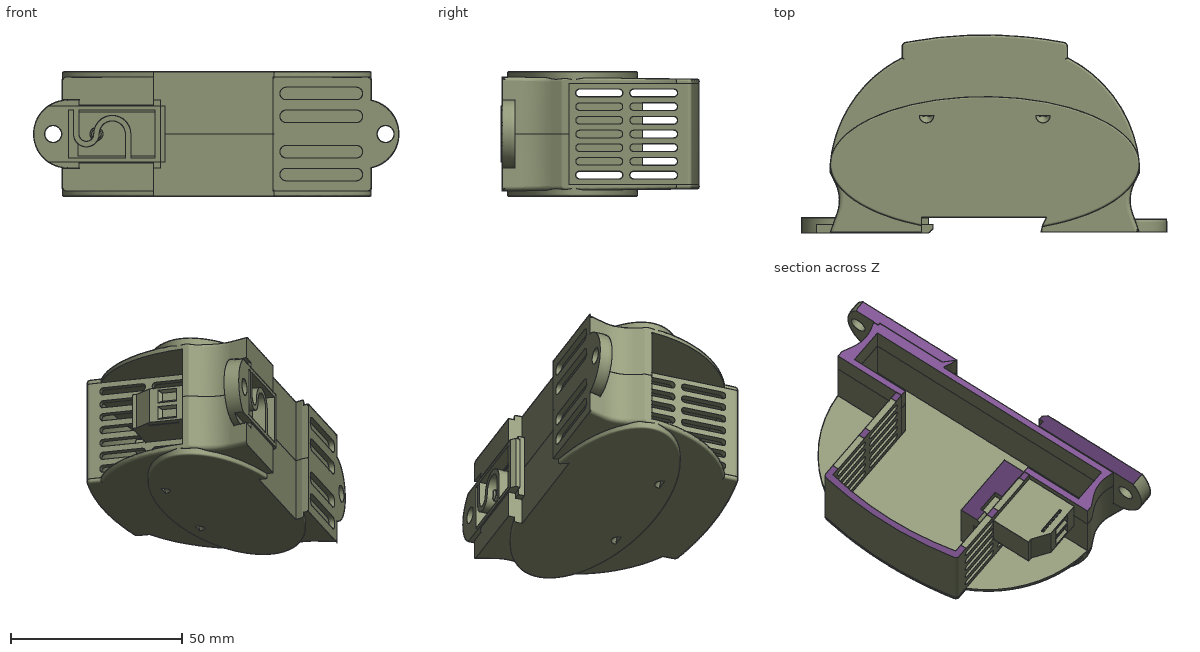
import cadquery as cq
import math


half_width = 45.2
foot_half_width = 45.1
dome_top = 57.6
dome_edge_height = 55.2
dome_half_width = 24.16
shoulder_height = 50.9
shoulder_bulge = (35.9, 41.75)
waist_height = 19.5
neck_half_width = 42.5
neck_height = 9.3
neck_radius = 11.4
neck_bottom_height = 5.6
neck_top_height = 14.3
dome_corner_radius = 1.3

half_depth_at_foot = 16.65
half_depth_at_top = 16.05
flange_inner_depth = 14.7
shell_edge_radius = 0.75
neck_edge_radius = 1.2
wall = 2.0

oval_center_height = 19.85
oval_half_width = 45.1
oval_half_height = 19.7
oval_half_depth = 18.22
oval_edge_radius = 0.5
dimple_radius = 2.1
dimple_depth = 3.0
dimple_spacing = 34.0
dimple_height = 34.0

pick_margin = 0.1

notch_depth = 4.3
notch_left = -18.45
notch_right = 18.0
hook_root = (16.85, 1.9)
hook_tip = 16.4

clip_back = -0.29
clip_top = 4.2
tier_height = 2.25
stem_half_width = 8.2
head_half_width = 9.93
clip_lug_x = -43.6
clip_lug_radius = 9.93
clip_hole_x = -47.8
mount_hole_diameter = 4.9
head_end = -16.4
tooth_end = -15.1
window_left = -43.3
window_right = -18.0
window_half_width = 7.0
spring_width = 1.6
spring_left = -41.05
spring_small_radius = 2.95
spring_large_radius = 4.62
boss_radius = 1.9
boss_back = 1.5
boss_chamfer = 0.5
groove_gap = 0.28
groove_shoulder_x = -40.2
ledge_half_width = 6.4
ledge_left = -40.5
ledge_depth = 0.3
clip_floor_thickness = 0.4

plate_thickness = 3.0
plate_lug_thickness = 3.8
plate_lug_end = 53.23
lug_chamfer_height = 1.0
lug_chamfer_width = 0.2
plate_lug_half_width = 9.9
plate_hole_x = 49.3
plate_slot_left = 18.45
plate_slot_right = 42.6
plate_slot_width = 3.65
plate_slot_depth = 1.7
plate_slot_offsets = (5.15, 11.84)

vent_pitch = 4.0
vent_rows = 7
vent_width = 2.2
vent_columns = ((37.3, 51.2), (21.5, 35.2))

terminal_half_width = 5.2
terminal_face = -40.4
terminal_shelf = -36.9
terminal_bevel_bottom = 31.0
terminal_bevel_top = 36.0
terminal_top = 37.3
base_half_width = 9.6
base_step = 30.25
base_top = 41.0
base_front = -dome_half_width + wall
base_setback = 2.5
base_thickness = 7.0
base_upper_front = base_front + base_setback
base_back = base_front + base_thickness
rib_radius = 2.5
rib_offset = 5.0
socket_mouth = (22.8, 28.5)
socket_floor = (22.8, 27.4)
socket_mouth_width = 3.95
socket_floor_width = 2.5
socket_spacing = 5.1
socket_depth = 1.0
slit_x = -38.2
slit_width = 0.6
slit_depth = 0.6
slit_bottom = 22.8
slit_top = 31.9


def box(x_min, x_max, y_min, y_max, z_min, z_max):
    return cq.Workplane("XY").box(
        x_max - x_min, y_max - y_min, z_max - z_min, centered=False
    ).translate((x_min, y_min, z_min))


def plate_along_y(sketch, y_min, y_max):
    """Extrude a sketch made on the base plane (local X, Z) between two heights in Y."""
    return sketch.extrude(y_min - y_max).translate((0, y_min, 0))


def base_plane():
    return cq.Workplane("XZ")


def neck_point(height):
    """A point on the concave neck arc on the +X side."""
    rise = height - neck_height
    return (neck_half_width + neck_radius - math.sqrt(neck_radius**2 - rise**2), height)


def mirrored(point):
    return (-point[0], point[1])


def outline(depth):
    """The full outline of the housing, extruded upward from Z = 0."""
    neck_bottom = neck_point(neck_bottom_height)
    neck_middle = (neck_half_width, neck_height)
    neck_top = neck_point(neck_top_height)
    neck_lean = math.asin((neck_top_height - neck_height) / neck_radius)
    side_bottom = neck_top_height + (half_width - neck_top[0]) / math.tan(neck_lean)
    body = (
        cq.Workplane("XY")
        .moveTo(-foot_half_width, 0)
        .lineTo(foot_half_width, 0)
        .lineTo(*neck_bottom)
        .threePointArc(neck_middle, neck_top)
        .lineTo(half_width, side_bottom)
        .lineTo(half_width, waist_height)
        .threePointArc(shoulder_bulge, (dome_half_width, shoulder_height))
        .lineTo(dome_half_width, dome_edge_height)
        .threePointArc((0, dome_top), (-dome_half_width, dome_edge_height))
        .lineTo(-dome_half_width, shoulder_height)
        .threePointArc(mirrored(shoulder_bulge), (-half_width, waist_height))
        .lineTo(-half_width, side_bottom)
        .lineTo(*mirrored(neck_top))
        .threePointArc(mirrored(neck_middle), mirrored(neck_bottom))
        .close()
        .extrude(depth)
    )
    corners = cq.selectors.BoxSelector(
        (-half_width, dome_edge_height - pick_margin, 0),
        (half_width, dome_edge_height + pick_margin, depth),
    )
    return body.edges("|Z").edges(corners).fillet(dome_corner_radius)


def tapered_envelope():
    """Everything below the shell face, which slopes inward toward the dome."""
    return (
        cq.Workplane("YZ")
        .polyline([(0, 0), (dome_top, 0), (dome_top, half_depth_at_top), (0, half_depth_at_foot)])
        .close()
        .extrude(half_width, both=True)
    )


def oval_cheek():
    cheek = (
        cq.Workplane("XY")
        .center(0, oval_center_height)
        .ellipse(oval_half_width, oval_half_height)
        .extrude(oval_half_depth)
        .faces(">Z")
        .edges()
        .fillet(oval_edge_radius)
    )
    behind_waist = box(-half_width, half_width, waist_height, dome_top, 0, flange_inner_depth)
    return cheek.cut(behind_waist)


def rail_notch():
    return (
        cq.Workplane("XY")
        .polyline([
            (notch_left, 0),
            (hook_tip, 0),
            hook_root,
            (notch_right, notch_depth),
            (notch_left, notch_depth),
        ])
        .close()
        .extrude(oval_half_depth)
    )


def clip_groove():
    narrow = stem_half_width + groove_gap
    wide = head_half_width + groove_gap / 2
    groove = box(-foot_half_width, notch_left, 0, tier_height, -narrow, narrow)
    groove = groove.union(box(-foot_half_width, notch_left, tier_height, notch_depth, -wide, wide))
    return groove.union(box(-foot_half_width, groove_shoulder_x, 0, notch_depth, -wide, wide))


def dimples():
    """Half-cone dimples with a flat wall on the dome side."""
    cone = cq.Workplane(
        cq.Solid.makeCone(dimple_radius, 0, dimple_depth, dir=cq.Vector(0, 0, -1))
    ).intersect(box(-dimple_radius, dimple_radius, -dimple_radius, 0, -dimple_depth, 0))
    left = cone.translate((-dimple_spacing / 2, dimple_height, oval_half_depth))
    return left.union(left.mirror("YZ"))


def height_band(low, high):
    """Select the edges whose centers lie between two heights in Y."""
    return cq.selectors.BoxSelector(
        (-half_width - pick_margin, low + pick_margin, 0),
        (half_width + pick_margin, high, oval_half_depth),
    )


def upper_shell():
    shell = outline(half_depth_at_foot).intersect(tapered_envelope())
    cavity_top = waist_height - wall
    shell = shell.faces(">Z").edges(height_band(0, cavity_top)).fillet(neck_edge_radius)
    shell = shell.faces(">Z").edges(height_band(cavity_top, dome_top)).fillet(shell_edge_radius)
    shell = shell.cut(box(-half_width, half_width, waist_height, dome_top, 0, flange_inner_depth))
    shell = shell.union(oval_cheek())
    cavity_half_width = neck_half_width - wall
    cavity_floor = notch_depth + wall
    shell = shell.cut(box(
        -cavity_half_width, cavity_half_width, cavity_floor, cavity_top, 0, flange_inner_depth
    ))
    opening = dome_half_width - wall
    shell = shell.cut(box(-opening, opening, cavity_floor, waist_height, 0, flange_inner_depth))
    return shell.cut(rail_notch()).cut(clip_groove()).cut(dimples()).cut(foot_blank())


def spring():
    """An S-shaped strip whose two bends meet at Z = 0."""
    joint = spring_left + 2 * spring_small_radius
    right = joint + 2 * spring_large_radius
    path = (
        base_plane()
        .moveTo(spring_left, window_half_width)
        .lineTo(spring_left, 0)
        .threePointArc((spring_left + spring_small_radius, -spring_small_radius), (joint, 0))
        .threePointArc((joint + spring_large_radius, spring_large_radius), (right, 0))
        .lineTo(right, -window_half_width)
    )
    strip = (
        cq.Workplane("XY", origin=(spring_left, 0, window_half_width))
        .center(0, (clip_back + clip_top) / 2)
        .rect(spring_width, clip_top - clip_back)
        .sweep(path)
    )
    boss = plate_along_y(base_plane().center(joint, 0).circle(boss_radius), boss_back, clip_top)
    return strip.union(boss.faces("<Y").edges().chamfer(boss_chamfer))


def clip_body():
    """A sliding clip: a wide head tier, a narrow stem tier with a hooked tooth, and a spring pocket."""
    disc = plate_along_y(
        base_plane().center(clip_lug_x, 0).circle(clip_lug_radius), clip_back, clip_top
    )
    disc_end = clip_lug_x - clip_lug_radius
    head_nose = disc.intersect(
        box(disc_end, clip_lug_x, tier_height, clip_top, -head_half_width, head_half_width)
    )
    stem_nose = disc.intersect(
        box(disc_end, clip_lug_x, clip_back, tier_height, -stem_half_width, stem_half_width)
    )
    head = box(clip_lug_x, head_end, tier_height, clip_top, -head_half_width, head_half_width)
    stem = (
        cq.Workplane("XY", origin=(0, 0, -stem_half_width))
        .polyline([
            (clip_lug_x, clip_back),
            (head_end, clip_back),
            (tooth_end, tier_height - (tooth_end - head_end)),
            (tooth_end, tier_height),
            (clip_lug_x, tier_height),
        ])
        .close()
        .extrude(2 * stem_half_width)
    )
    floor = clip_top - clip_floor_thickness
    ledge = floor - ledge_depth
    window = box(window_left, window_right, clip_back, ledge, -window_half_width, window_half_width)
    window = window.union(
        box(ledge_left, window_right, ledge, floor, -ledge_half_width, ledge_half_width)
    )
    hole = plate_along_y(
        base_plane().center(clip_hole_x, 0).circle(mount_hole_diameter / 2), clip_back, clip_top
    )
    solid_clip = head.union(head_nose).union(stem).union(stem_nose)
    return solid_clip.cut(window).cut(hole).union(spring())


def foot_blank():
    """A plate with mitred edges, so that only its outer face shows, and a mounting lug."""
    length = foot_half_width - hook_tip
    width = 2 * half_depth_at_foot
    center_x = (foot_half_width + hook_tip) / 2
    plate = (
        base_plane()
        .center(center_x, 0)
        .rect(length, width)
        .workplane(offset=-plate_thickness)
        .rect(length - 2 * plate_thickness, width - 2 * plate_thickness)
        .loft()
    )
    lug_root = foot_half_width - plate_thickness
    lug = plate_along_y(
        base_plane()
        .moveTo(lug_root, -plate_lug_half_width)
        .lineTo(foot_half_width, -plate_lug_half_width)
        .threePointArc((plate_lug_end, 0), (foot_half_width, plate_lug_half_width))
        .lineTo(lug_root, plate_lug_half_width)
        .close(),
        0,
        plate_lug_thickness,
    )
    rim = lug.faces(">Y").edges(">X")
    lug = rim.chamfer(lug_chamfer_height, lug_chamfer_width)
    return plate.union(lug)


def foot_plate():
    """The foot plate with its mounting hole and blind slots."""
    hole = plate_along_y(
        base_plane().center(plate_hole_x, 0).circle(mount_hole_diameter / 2), 0, plate_lug_thickness
    )
    slot_centers = [
        ((plate_slot_left + plate_slot_right) / 2, side * offset)
        for offset in plate_slot_offsets
        for side in (-1, 1)
    ]
    slots = plate_along_y(
        base_plane()
        .pushPoints(slot_centers)
        .slot2D(plate_slot_right - plate_slot_left, plate_slot_width),
        0,
        plate_slot_depth,
    )
    return foot_blank().cut(hole).cut(slots)


def vent_frame(terminal):
    """The seamless dome wall and its two slotted side panels, held between the shell flanges."""
    depth = 2 * flange_inner_depth
    low = -flange_inner_depth
    block = outline(depth).translate((0, 0, low)).intersect(
        box(-dome_half_width, dome_half_width, waist_height, dome_top, low, -low)
    )
    inner_half_width = dome_half_width - wall
    inside = (
        cq.Workplane("XY", origin=(0, 0, low))
        .moveTo(-inner_half_width, waist_height)
        .lineTo(inner_half_width, waist_height)
        .lineTo(inner_half_width, dome_edge_height - wall)
        .threePointArc((0, dome_top - wall), (-inner_half_width, dome_edge_height - wall))
        .close()
        .extrude(depth)
    )
    frame = block.cut(inside)
    for bottom, top in vent_columns:
        slots = (
            cq.Workplane("YZ")
            .center((bottom + top) / 2, 0)
            .rarray(1, vent_pitch, 1, vent_rows)
            .slot2D(top - bottom, vent_width)
            .extrude(dome_half_width, both=True)
        )
        frame = frame.cut(slots)
    return frame.cut(terminal)


def wire_socket(center_z):
    """A socket that narrows from its mouth to its floor."""
    mouth_center = sum(socket_mouth) / 2
    floor_center = sum(socket_floor) / 2
    return (
        cq.Workplane("YZ", origin=(terminal_face, 0, center_z))
        .center(mouth_center, 0)
        .rect(socket_mouth[1] - socket_mouth[0], socket_mouth_width)
        .workplane(offset=socket_depth)
        .center(floor_center - mouth_center, 0)
        .rect(socket_floor[1] - socket_floor[0], socket_floor_width)
        .loft()
    )


def side_slit(side):
    """A shallow slit in one Z face of the terminal block."""
    slit = box(
        slit_x, slit_x + slit_width, slit_bottom, slit_top,
        terminal_half_width - slit_depth, terminal_half_width,
    )
    return slit if side > 0 else slit.mirror("XY")


def terminal_block():
    outside = (
        cq.Workplane("XY", origin=(0, 0, -terminal_half_width))
        .polyline([
            (base_front, waist_height),
            (terminal_face, waist_height),
            (terminal_face, terminal_bevel_bottom),
            (terminal_shelf, terminal_bevel_top),
            (terminal_shelf, terminal_top),
            (base_front, terminal_top),
        ])
        .close()
        .extrude(2 * terminal_half_width)
    )
    base = box(base_front, base_back, waist_height, base_step, -base_half_width, base_half_width)
    upper = box(base_upper_front, base_back, base_step, base_top, -base_half_width, base_half_width)
    ribs = (
        base_plane()
        .pushPoints([(base_upper_front, -rib_offset), (base_upper_front, rib_offset)])
        .circle(rib_radius)
    )
    ribs = plate_along_y(ribs, terminal_top, base_top)
    bridge = box(
        base_front, base_back, base_step, terminal_top, -terminal_half_width, terminal_half_width
    )
    block = base.union(upper).union(ribs).union(bridge).union(outside)
    for side in (-1, 1):
        block = block.cut(wire_socket(side * socket_spacing / 2))
        block = block.cut(side_slit(side))
    return block


foot = foot_plate()
terminal = terminal_block()
shell_above = upper_shell()
shell_below = shell_above.mirror("XY")
clip = clip_body()
frame = vent_frame(terminal)

result = cq.Compound.makeCompound([
    shell_above.val(),
    shell_below.val(),
    clip.val(),
    foot.val(),
    frame.val(),
    terminal.val(),
])